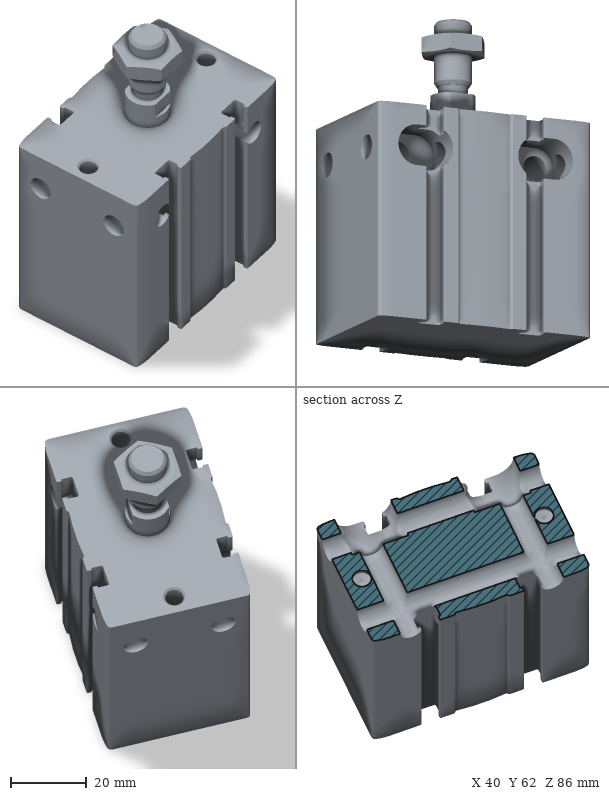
import cadquery as cq
import math

BODY_WIDTH = 40.0
BODY_LENGTH = 62.0
BODY_HEIGHT = 58.0
HALF_WIDTH = BODY_WIDTH / 2
HALF_LENGTH = BODY_LENGTH / 2

SIDE_FLAT_END = 26.5
CORNER_BLEND_RADIUS = 16.0
CORNER_BLEND_END = 30.3
END_FLAT_HALF = 18.4
CORNER_MIDDLE = (19.1, 30.8)

RECESS_HALF_OUTER = 7.9
RECESS_HALF_INNER = 7.2
RECESS_EDGE_DEPTH = 0.6
RECESS_MIDDLE_DEPTH = 0.2

SLOT_OFFSET = 14.6
SLOT_MOUTH = 5.2
SLOT_INNER_WIDTH = 6.4
SLOT_LIP = 1.4
SLOT_DEPTH = 4.5
SLOT_LIP_RADIUS = 0.3
SLOT_CORNER_RADIUS = 0.5

MOUNT_DIAMETER = 6.6
MOUNT_HEIGHT = BODY_HEIGHT - 11.0
LENGTHWISE_HOLE_X = 12.0
CROSSWISE_HOLE_Y = 20.0

COUNTERBORE_WIDTH = 11.0
COUNTERBORE_STRETCH = 5.0
COUNTERBORE_DEPTH = 12.0

TAP_DIAMETER = 4.92
TAP_THREAD = 6.0
TAP_Y = 26.0
TAP_DEPTH = 12.0
DRILL_POINT_ANGLE = 118.0

ROD_DIAMETER = 12.0
ROD_BASE = BODY_HEIGHT
SHANK_TOP = ROD_BASE + 8.0
ROD_TOP = ROD_BASE + 28.0
FLATS_WIDTH = 10.0
FLATS_BOTTOM = ROD_BASE + 3.5
NECK_DIAMETER = 8.0
NECK_TOP = SHANK_TOP + 2.5
STUD_DIAMETER = 10.0
STUD_TIP_DIAMETER = 8.57
STUD_TOP_CHAMFER = 0.9
STUD_BOTTOM_CHAMFER = 1.1

NUT_ACROSS_FLATS = 16.0
NUT_HEIGHT = 5.0
NUT_BOTTOM = ROD_BASE + 18.7
NUT_FACE_DIAMETER = 14.4
NUT_CHAMFER_ANGLE = 15.0
HEX_HALF_ANGLE = 30.0


def side_blend_x(y):
    """X of the corner blend, an arc tangent to the long side."""
    drop = math.sqrt(CORNER_BLEND_RADIUS**2 - (y - SIDE_FLAT_END) ** 2)
    return HALF_WIDTH - CORNER_BLEND_RADIUS + drop


def place_in_quadrant(shape, x_sign, y_sign):
    """Mirror a shape made at +X +Y into the quadrant with the given signs."""
    if x_sign < 0:
        shape = shape.mirror("YZ")
    if y_sign < 0:
        shape = shape.mirror("XZ")
    return shape


def quarter_block():
    """Quarter of the plain block at +X +Y, with its rounded vertical corner."""
    middle_y = (SIDE_FLAT_END + CORNER_BLEND_END) / 2
    blend_end_x = side_blend_x(CORNER_BLEND_END)
    return (
        cq.Workplane("XY")
        .lineTo(HALF_WIDTH, 0)
        .lineTo(HALF_WIDTH, SIDE_FLAT_END)
        .threePointArc((side_blend_x(middle_y), middle_y), (blend_end_x, CORNER_BLEND_END))
        .threePointArc(CORNER_MIDDLE, (END_FLAT_HALF, HALF_LENGTH))
        .lineTo(0, HALF_LENGTH)
        .close()
        .extrude(BODY_HEIGHT)
    )


def t_slot_cutter(x_sign, y_sign):
    """T-slot over the full height, with rounded lips and rounded floor corners."""
    lip_x = HALF_WIDTH - SLOT_LIP
    floor_x = HALF_WIDTH - SLOT_DEPTH
    half_mouth = SLOT_MOUTH / 2
    flare = half_mouth + SLOT_LIP_RADIUS
    flare_outer_x = HALF_WIDTH - SLOT_LIP_RADIUS
    flare_inner_x = lip_x + SLOT_LIP_RADIUS
    mouth = (
        cq.Workplane("XY", origin=(0, SLOT_OFFSET, 0))
        .moveTo(HALF_WIDTH, flare)
        .radiusArc((flare_outer_x, half_mouth), SLOT_LIP_RADIUS)
        .lineTo(flare_inner_x, half_mouth)
        .radiusArc((lip_x, flare), SLOT_LIP_RADIUS)
        .lineTo(lip_x, -flare)
        .radiusArc((flare_inner_x, -half_mouth), SLOT_LIP_RADIUS)
        .lineTo(flare_outer_x, -half_mouth)
        .radiusArc((HALF_WIDTH, -flare), SLOT_LIP_RADIUS)
        .close()
        .extrude(BODY_HEIGHT)
    )
    channel = (
        cq.Workplane("XY", origin=((lip_x + floor_x) / 2, SLOT_OFFSET, 0))
        .rect(lip_x - floor_x, SLOT_INNER_WIDTH)
        .extrude(BODY_HEIGHT)
        .edges("|Z and <X")
        .fillet(SLOT_CORNER_RADIUS)
    )
    return place_in_quadrant(mouth.union(channel), x_sign, y_sign)


def side_recess_cutter(x_sign):
    """Shallow recess with a bulged floor along the middle of a long side."""
    edge_x = HALF_WIDTH - RECESS_EDGE_DEPTH
    middle_x = HALF_WIDTH - RECESS_MIDDLE_DEPTH
    recess = (
        cq.Workplane("XY")
        .moveTo(HALF_WIDTH, RECESS_HALF_OUTER)
        .lineTo(edge_x, RECESS_HALF_INNER)
        .threePointArc((middle_x, 0), (edge_x, -RECESS_HALF_INNER))
        .lineTo(HALF_WIDTH, -RECESS_HALF_OUTER)
        .close()
        .extrude(BODY_HEIGHT)
    )
    return place_in_quadrant(recess, x_sign, 1)


def lengthwise_hole(x_sign):
    """Mounting hole along Y through the whole body."""
    return (
        cq.Workplane("XZ", origin=(x_sign * LENGTHWISE_HOLE_X, HALF_LENGTH, MOUNT_HEIGHT))
        .circle(MOUNT_DIAMETER / 2)
        .extrude(BODY_LENGTH)
    )


def crosswise_hole(y_sign):
    """Mounting hole along X with an oblong counterbore stretched toward the middle."""
    counterbore_y = y_sign * (CROSSWISE_HOLE_Y - COUNTERBORE_STRETCH / 2)
    hole = (
        cq.Workplane("YZ", origin=(-HALF_WIDTH, y_sign * CROSSWISE_HOLE_Y, MOUNT_HEIGHT))
        .circle(MOUNT_DIAMETER / 2)
        .extrude(BODY_WIDTH)
    )
    counterbore = (
        cq.Workplane("YZ", origin=(-HALF_WIDTH, counterbore_y, MOUNT_HEIGHT))
        .slot2D(COUNTERBORE_STRETCH + COUNTERBORE_WIDTH, COUNTERBORE_WIDTH)
        .extrude(COUNTERBORE_DEPTH)
    )
    return hole.union(counterbore)


def tapped_hole(y_sign):
    """Blind hole in the top face with a countersunk mouth and a drill point."""
    radius = TAP_DIAMETER / 2
    mouth_radius = TAP_THREAD / 2
    floor_z = BODY_HEIGHT - TAP_DEPTH
    point_depth = radius / math.tan(math.radians(DRILL_POINT_ANGLE / 2))
    return (
        cq.Workplane("XZ")
        .moveTo(0, BODY_HEIGHT)
        .lineTo(mouth_radius, BODY_HEIGHT)
        .lineTo(radius, BODY_HEIGHT - (mouth_radius - radius))
        .lineTo(radius, floor_z)
        .lineTo(0, floor_z - point_depth)
        .close()
        .revolve(360, (0, 0, 0), (0, 1, 0))
        .translate((0, y_sign * TAP_Y, 0))
    )


def make_body():
    """Block-shaped body with all slots and holes."""
    quarter = quarter_block()
    half = quarter.union(quarter.mirror("YZ"))
    body = half.union(half.mirror("XZ"))
    for x_sign in (-1, 1):
        for y_sign in (-1, 1):
            body = body.cut(t_slot_cutter(x_sign, y_sign))
        body = body.cut(side_recess_cutter(x_sign))
        body = body.cut(lengthwise_hole(x_sign))
    for y_sign in (-1, 1):
        body = body.cut(crosswise_hole(y_sign))
        body = body.cut(tapped_hole(y_sign))
    return body


def make_rod():
    """Piston rod standing on the body: flatted shank, neck and chamfered stud."""
    rod_radius = ROD_DIAMETER / 2
    neck_radius = NECK_DIAMETER / 2
    stud_radius = STUD_DIAMETER / 2
    tip_radius = STUD_TIP_DIAMETER / 2
    rod = (
        cq.Workplane("XZ")
        .moveTo(0, ROD_BASE)
        .lineTo(rod_radius, ROD_BASE)
        .lineTo(rod_radius, SHANK_TOP)
        .lineTo(neck_radius, SHANK_TOP)
        .lineTo(neck_radius, NECK_TOP)
        .lineTo(tip_radius, NECK_TOP)
        .lineTo(stud_radius, NECK_TOP + STUD_BOTTOM_CHAMFER)
        .lineTo(stud_radius, ROD_TOP - STUD_TOP_CHAMFER)
        .lineTo(tip_radius, ROD_TOP)
        .lineTo(0, ROD_TOP)
        .close()
        .revolve(360, (0, 0, 0), (0, 1, 0))
    )
    flat_depth = (ROD_DIAMETER - FLATS_WIDTH) / 2
    flat_center = (ROD_DIAMETER + FLATS_WIDTH) / 4
    for x_sign in (-1, 1):
        flat = (
            cq.Workplane("XY", origin=(x_sign * flat_center, 0, FLATS_BOTTOM))
            .rect(flat_depth, ROD_DIAMETER)
            .extrude(SHANK_TOP - FLATS_BOTTOM)
        )
        rod = rod.cut(flat)
    return rod


def make_nut():
    """Hex nut with flats facing +X and -X, corners chamfered on both faces."""
    across_corners = NUT_ACROSS_FLATS / math.cos(math.radians(HEX_HALF_ANGLE))
    corner_radius = across_corners / 2
    face_radius = NUT_FACE_DIAMETER / 2
    bevel = (corner_radius - face_radius) * math.tan(math.radians(NUT_CHAMFER_ANGLE))
    hexagon = (
        cq.Workplane("XY")
        .polygon(6, across_corners)
        .extrude(NUT_HEIGHT)
        .rotate((0, 0, 0), (0, 0, 1), HEX_HALF_ANGLE)
    )
    bevelled_disc = (
        cq.Workplane("XZ")
        .moveTo(STUD_DIAMETER / 2, 0)
        .lineTo(face_radius, 0)
        .lineTo(corner_radius, bevel)
        .lineTo(corner_radius, NUT_HEIGHT - bevel)
        .lineTo(face_radius, NUT_HEIGHT)
        .lineTo(STUD_DIAMETER / 2, NUT_HEIGHT)
        .close()
        .revolve(360, (0, 0, 0), (0, 1, 0))
    )
    return hexagon.intersect(bevelled_disc).translate((0, 0, NUT_BOTTOM))


body = make_body()
rod = make_rod()
nut = make_nut()

result = cq.Compound.makeCompound([body.val(), rod.val(), nut.val()])